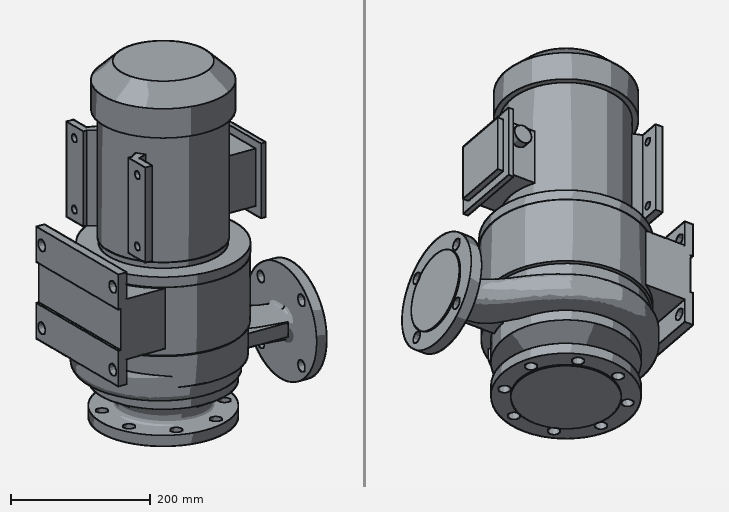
import cadquery as cq
import math


edge_margin = 0.5

suction_flange_radius = 108.0
suction_face_radius = 79.5
raised_face_height = 2.0
suction_flange_top = 19.5
suction_neck_radius = 69.5
suction_neck_top = 38.5
suction_cone_top = 60.5
suction_neck_fillet = 8.0
suction_bolt_circle = 90.0
suction_bolt_count = 8
flange_bolt_radius = 9.0

volute_bottom = 77.0
volute_height = 46.5
volute_top = volute_bottom + volute_height
volute_middle = (volute_bottom + volute_top) / 2
volute_start_angle = 45.0
volute_start_radius = 114.0
volute_growth_per_turn = 41.0
volute_inner_radius = 78.0
volute_step = 22.5
volute_turn = 270.0
volute_start_rounding = 6.5
volute_end_rounding = 15.0
tongue_width = 22.5
tongue_length = 197.0

outlet_flange_radius = 90.0
outlet_face_radius = 62.0
outlet_end = 225.0
outlet_flange_front = outlet_end - raised_face_height
outlet_flange_back = 205.0
outlet_neck_fillet = 5.5
outlet_bolt_circle = 72.5
outlet_bolt_count = 4
outlet_outer_x = -36.0
outlet_inner_x = 31.0
nozzle_sections = [
    ((-82.0, 126.5), (-28.0, 95.0), 17.0),
    ((-59.0, 151.0), (13.0, 131.5), 19.0),
    ((-41.5, 179.0), (26.0, 173.5), 21.0),
    ((outlet_outer_x, tongue_length), (outlet_inner_x, tongue_length), 22.5),
    ((outlet_outer_x, outlet_flange_back), (outlet_inner_x, outlet_flange_back), 22.5),
]

cover_radius = 122.0
cover_top = 149.0
lantern_neck_radius = 104.0
lantern_bottom = 152.0
lantern_top = 259.0
lantern_radius = 124.5

bracket_width = 208.5
arm_bottom = 162.5
arm_top = 257.0
arm_root_radius = 119.0
plate_bottom = 123.5
plate_top = 299.0
plate_face = -150.0
plate_thickness = 14.5
recess_bottom = 179.5
recess_top = 244.0
recess_depth = 4.5
bracket_hole_x = 90.0
bracket_hole_heights = (145.0, 274.5)
bracket_hole_radius = 9.0

motor_flange_radius = 125.0
motor_flange_top = 275.0
motor_neck_radius = 93.5
motor_neck_top = 284.5
motor_radius = 95.0
hood_bottom = 483.5
hood_radius = 104.0
hood_shoulder = 529.5
hood_top_radius = 72.5
motor_top = 559.0

foot_bottom = 303.5
foot_top = 453.0
foot_face = -100.0
foot_back = -88.0
foot_outer_x = 100.0
foot_inner_x = 57.0
foot_lip_y = -94.0
foot_root_inner = (48.0, -81.0)
foot_root_buried = (48.0, -67.0)
foot_root_outer = (59.0, -67.0)
foot_crank_x = 67.0
foot_hole_x = 80.0
foot_hole_heights = (322.0, 434.0)
foot_hole_radius = 6.0

box_width = 90.5
box_bottom = 316.0
box_top = 406.0
box_end = 147.5
lid_width = 118.0
lid_bottom = 301.5
lid_top = 418.5
lid_back = 129.5
lid_front = 138.0
gland_radius = 14.5
gland_y = 113.0
gland_z = 382.5
gland_end = -58.5


def disc(radius, bottom, top):
    """Cylinder about the Z axis."""
    return cq.Workplane("XY").workplane(offset=bottom).circle(radius).extrude(top - bottom)


def block(x_range, y_range, z_range):
    """Box between two limits on each axis."""
    size = [high - low for low, high in (x_range, y_range, z_range)]
    corner = (x_range[0], y_range[0], z_range[0])
    return cq.Workplane("XY").box(*size, centered=False).translate(corner)


def y_cylinder(radius, x, z, y_start, y_end):
    """Cylinder along +Y."""
    plane = cq.Plane(origin=(x, y_start, z), xDir=(1, 0, 0), normal=(0, 1, 0))
    return cq.Workplane(plane).circle(radius).extrude(y_end - y_start)


def bolt_positions(count, circle_radius):
    """Points on a bolt circle, straddling the main axes."""
    angles = [2 * math.pi * (i + 0.5) / count for i in range(count)]
    return [(circle_radius * math.cos(a), circle_radius * math.sin(a)) for a in angles]


def make_suction():
    """Suction flange, neck and cone up to the volute."""
    profile = [
        (0, raised_face_height),
        (suction_flange_radius, raised_face_height),
        (suction_flange_radius, suction_flange_top),
        (suction_neck_radius, suction_flange_top),
        (suction_neck_radius, suction_neck_top),
        (suction_flange_radius, suction_cone_top),
        (suction_flange_radius, volute_middle),
        (0, volute_middle),
    ]
    body = cq.Workplane("XZ").polyline(profile).close().revolve(360, (0, 0), (0, 1))
    reach = suction_neck_radius + edge_margin
    neck_zone = cq.selectors.BoxSelector(
        (-reach, -reach, suction_flange_top - edge_margin),
        (reach, reach, suction_neck_top + edge_margin),
        boundingbox=True,
    )
    body = body.edges(neck_zone).edges("%CIRCLE").fillet(suction_neck_fillet)
    body = body.union(disc(suction_face_radius, 0, raised_face_height))
    bolts = bolt_positions(suction_bolt_count, suction_bolt_circle)
    holes = cq.Workplane("XY").pushPoints(bolts).circle(flange_bolt_radius).extrude(suction_flange_top)
    return body.cut(holes)


def volute_section(outer, inner, rounding):
    """Upright rounded rectangle between two plan points."""
    span = cq.Vector(*outer) - cq.Vector(*inner)
    middle = (cq.Vector(*outer) + cq.Vector(*inner)) * 0.5 + cq.Vector(0, 0, volute_middle)
    plane = cq.Plane(origin=middle, xDir=span, normal=span.cross(cq.Vector(0, 0, 1)))
    wire = cq.Workplane(plane).rect(span.Length, volute_height).wires().val()
    return wire.fillet2D(rounding, wire.Vertices())


def make_volute():
    """Scroll with growing radius that runs out into the outlet nozzle."""
    sections = []
    for i in range(round(volute_turn / volute_step) + 1):
        turned = i * volute_step
        angle = math.radians(volute_start_angle - turned)
        radius = volute_start_radius + volute_growth_per_turn * turned / 360
        growth = turned / volute_turn
        rounding = volute_start_rounding + (volute_end_rounding - volute_start_rounding) * growth
        outer = (radius * math.cos(angle), radius * math.sin(angle))
        inner = (volute_inner_radius * math.cos(angle), volute_inner_radius * math.sin(angle))
        sections.append(volute_section(outer, inner, rounding))
    sections += [volute_section(*section) for section in nozzle_sections]
    return cq.Workplane(cq.Solid.makeLoft(sections))


def make_tongue():
    """Straight web that closes the gap between the nozzle and the scroll."""
    return block(
        (0, outlet_inner_x),
        (0, tongue_length),
        (volute_middle - tongue_width / 2, volute_middle + tongue_width / 2),
    )


def make_outlet_flange():
    """Outlet flange with raised face and bolt holes."""
    flange = y_cylinder(outlet_flange_radius, 0, volute_middle, outlet_flange_back, outlet_flange_front)
    face = y_cylinder(outlet_face_radius, 0, volute_middle, outlet_flange_front, outlet_end)
    flange = flange.union(face)
    for x, z in bolt_positions(outlet_bolt_count, outlet_bolt_circle):
        hole = y_cylinder(flange_bolt_radius, x, volute_middle + z, outlet_flange_back, outlet_end)
        flange = flange.cut(hole)
    return flange


def make_bracket():
    """Wall bracket: arm from the lantern, recessed plate and four holes."""
    half = bracket_width / 2
    plate_back = plate_face + plate_thickness
    bracket = block((-half, half), (plate_face, plate_back), (plate_bottom, plate_top))
    bracket = bracket.union(block((-half, half), (plate_back, 0), (arm_bottom, arm_top)))
    bracket = bracket.cut(
        block((-half, half), (plate_face, plate_face + recess_depth), (recess_bottom, recess_top))
    )
    for x in (-bracket_hole_x, bracket_hole_x):
        for z in bracket_hole_heights:
            bracket = bracket.cut(y_cylinder(bracket_hole_radius, x, z, plate_face, plate_back))
    return bracket.cut(disc(arm_root_radius, arm_bottom, arm_top))


def make_pump():
    """Pump casing, lantern and wall bracket as one body."""
    pump = make_volute().union(make_outlet_flange())
    neck_zone = cq.selectors.BoxSelector(
        (outlet_outer_x - edge_margin, outlet_flange_back - edge_margin, volute_bottom - edge_margin),
        (outlet_inner_x + edge_margin, outlet_flange_back + edge_margin, volute_top + edge_margin),
        boundingbox=True,
    )
    pump = pump.edges(neck_zone).fillet(outlet_neck_fillet)
    pump = pump.union(make_tongue()).union(make_suction())
    pump = pump.union(disc(cover_radius, volute_middle, cover_top))
    pump = pump.union(disc(lantern_neck_radius, cover_top, lantern_bottom))
    pump = pump.union(disc(lantern_radius, lantern_bottom, lantern_top))
    return pump.union(make_bracket())


def make_foot(side):
    """Motor foot: cranked plate along the motor, with two holes; side is -1 or 1."""
    outline = [
        (foot_outer_x, foot_face),
        (foot_inner_x, foot_face),
        (foot_inner_x, foot_lip_y),
        foot_root_inner,
        foot_root_buried,
        foot_root_outer,
        (foot_crank_x, foot_back),
        (foot_outer_x, foot_back),
    ]
    points = [(side * x, y) for x, y in outline]
    foot = cq.Workplane("XY").workplane(offset=foot_bottom).polyline(points).close()
    foot = foot.extrude(foot_top - foot_bottom)
    for z in foot_hole_heights:
        foot = foot.cut(y_cylinder(foot_hole_radius, side * foot_hole_x, z, foot_face, foot_back))
    return foot


def make_terminal_box():
    """Terminal box with overhanging lid and a cable gland on the -X side."""
    box = block((-box_width / 2, box_width / 2), (0, box_end), (box_bottom, box_top))
    lid = block((-lid_width / 2, lid_width / 2), (lid_back, lid_front), (lid_bottom, lid_top))
    gland = (
        cq.Workplane("YZ", origin=(gland_end, gland_y, gland_z))
        .circle(gland_radius)
        .extrude(-gland_end - box_width / 2)
    )
    return box.union(lid).union(gland)


def make_motor():
    """Motor with mounting flange, fan hood, feet and terminal box."""
    profile = [
        (0, lantern_top),
        (motor_flange_radius, lantern_top),
        (motor_flange_radius, motor_flange_top),
        (motor_neck_radius, motor_flange_top),
        (motor_neck_radius, motor_neck_top),
        (motor_radius, motor_neck_top),
        (motor_radius, hood_bottom),
        (hood_radius, hood_bottom),
        (hood_radius, hood_shoulder),
        (hood_top_radius, motor_top),
        (0, motor_top),
    ]
    motor = cq.Workplane("XZ").polyline(profile).close().revolve(360, (0, 0), (0, 1))
    for side in (-1, 1):
        motor = motor.union(make_foot(side))
    return motor.union(make_terminal_box())


pump = make_pump()
motor = make_motor()
result = cq.Compound.makeCompound([pump.solids().val(), motor.solids().val()])